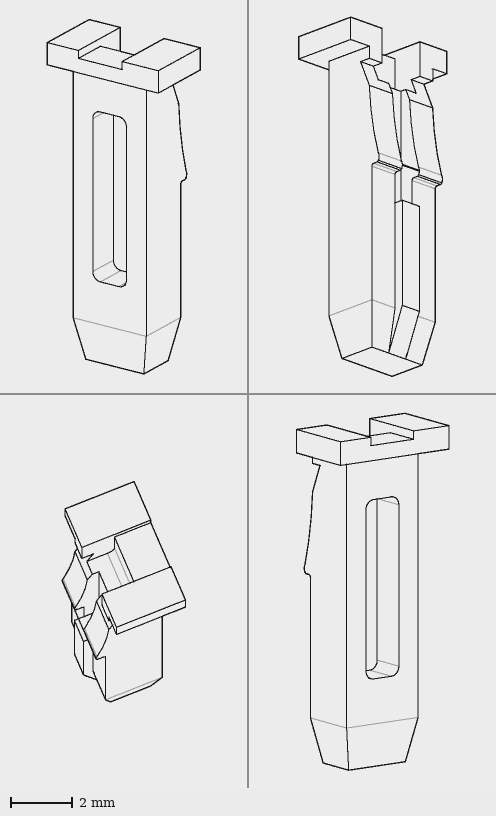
import cadquery as cq


total_height = 11.25
head_left = -2.1
head_right = 2.3
head_depth = 2.45
head_thickness = 0.79
head_underside = total_height - head_thickness

stem_width = 2.9
stem_front = 0.55
stem_back = 2.57
rear_extent = 2.91
taper_height = 1.5
taper_inset = 0.3

undercut_y = 2.04
lip_underside = total_height - 1.22
ramp_end = (head_depth, total_height - 2.17)
flank_middle = (2.54, total_height - 3.13)
flank_end = (2.87, total_height - 4.66)
nose_middle = (rear_extent, total_height - 4.82)
nose_end = (2.88, total_height - 4.93)
latch_underside = total_height - 4.97
nose_flat_start = 2.82
latch_root_radius = 0.08

notch_width = 1.73
shallow_notch_depth = 0.28
deep_notch_depth = 1.76
deep_notch_front = 1.29
deep_notch_radius = 0.25

window_width = 1.33
window_height = 6.0
window_top = total_height - 2.24
window_radius = 0.3
window_depth = 1.2

rib_width = 0.78
rib_top = total_height - 6.05


def centred_box(width, y_start, y_end, z_start, z_end):
    """Box centred on X = 0 between the given Y and Z limits."""
    return cq.Workplane("XY").box(
        width, y_end - y_start, z_end - z_start, centered=(True, False, False)
    ).translate((0, y_start, z_start))


def extrude_side_profile(profile, width):
    """Extrude a closed YZ profile symmetrically about X = 0."""
    return profile.close().extrude(width / 2, both=True)


def make_head():
    return cq.Workplane("XY").box(
        head_right - head_left, head_depth, head_thickness, centered=False
    ).translate((head_left, 0, head_underside))


def make_upper_stem():
    """Straight part of the stem, with the lip and the snap latch on its back."""
    profile = (
        cq.Workplane("YZ")
        .moveTo(stem_front, taper_height)
        .lineTo(stem_front, head_underside)
        .lineTo(head_depth, head_underside)
        .lineTo(head_depth, lip_underside)
        .lineTo(undercut_y, lip_underside)
        .lineTo(*ramp_end)
        .threePointArc(flank_middle, flank_end)
        .threePointArc(nose_middle, nose_end)
        .lineTo(nose_flat_start, latch_underside)
        .lineTo(stem_back + latch_root_radius, latch_underside)
        .radiusArc((stem_back, latch_underside - latch_root_radius), -latch_root_radius)
        .lineTo(stem_back, taper_height)
    )
    return extrude_side_profile(profile, stem_width)


def make_tapered_tip():
    """Lower end of the stem, narrowing equally on all four sides."""
    stem_depth = stem_back - stem_front
    return (
        cq.Workplane("XY")
        .center(0, (stem_front + stem_back) / 2)
        .rect(stem_width - 2 * taper_inset, stem_depth - 2 * taper_inset)
        .workplane(offset=taper_height)
        .rect(stem_width, stem_depth)
        .loft(ruled=True)
    )


def make_rib():
    """Guide rib whose lower end slopes in to meet the tapered tip."""
    profile = (
        cq.Workplane("YZ")
        .moveTo(undercut_y, 0)
        .lineTo(stem_back - taper_inset, 0)
        .lineTo(rear_extent, taper_height)
        .lineTo(rear_extent, rib_top)
        .lineTo(undercut_y, rib_top)
    )
    return extrude_side_profile(profile, rib_width)


def make_notch():
    """Stepped notch, with a fillet at the foot of its step."""
    deep_floor = total_height - deep_notch_depth
    shallow_part = centred_box(
        notch_width, 0, head_depth, total_height - shallow_notch_depth, total_height
    )
    deep_part = centred_box(
        notch_width, deep_notch_front, head_depth, deep_floor, total_height
    )
    deep_part = deep_part.edges("<Y and <Z").fillet(deep_notch_radius)
    return shallow_part.union(deep_part)


def make_window():
    pocket = centred_box(
        window_width,
        stem_front,
        stem_front + window_depth,
        window_top - window_height,
        window_top,
    )
    return pocket.edges("|Y").fillet(window_radius)


def make_latch_channel():
    """Channel that splits the latch in two, from the top of the rib upward."""
    return centred_box(rib_width, undercut_y, rear_extent, rib_top, total_height)


result = (
    make_head()
    .union(make_upper_stem())
    .union(make_tapered_tip())
    .cut(make_notch())
    .cut(make_window())
    .cut(make_latch_channel())
    .union(make_rib())
)